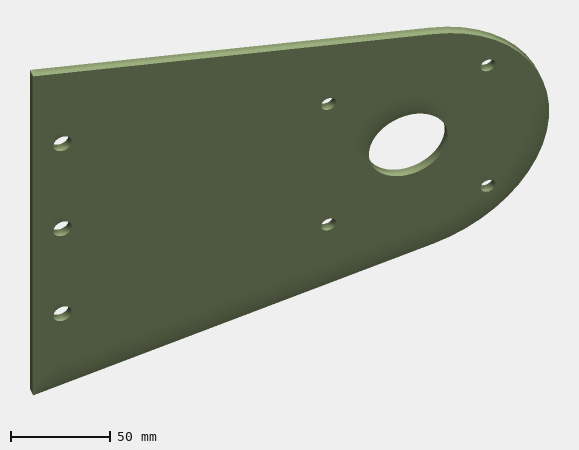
import cadquery as cq
import math

length = 275.0
height = 225.0
thickness = 5.0
end_radius = 75.0

bore_diameter = 42.0
mount_hole_diameter = 8.0
mount_hole_spacing = 85.0
edge_hole_diameter = 10.0
edge_hole_spacing = 60.0
edge_hole_inset = 15.7

straight_edge_y = end_radius - length
half_height = height / 2

corner_distance = math.hypot(straight_edge_y, half_height)
corner_angle = math.atan2(half_height, straight_edge_y)
tangent_angle = corner_angle - math.acos(end_radius / corner_distance)
tangent_y = end_radius * math.cos(tangent_angle)
tangent_z = end_radius * math.sin(tangent_angle)


def make_plate():
    return (
        cq.Workplane("YZ")
        .moveTo(straight_edge_y, -half_height)
        .lineTo(tangent_y, -tangent_z)
        .threePointArc((end_radius, 0), (tangent_y, tangent_z))
        .lineTo(straight_edge_y, half_height)
        .close()
        .extrude(thickness)
    )


def make_holes(centres, diameter):
    return cq.Workplane("YZ").pushPoints(centres).circle(diameter / 2).extrude(thickness)


mount_offset = mount_hole_spacing / 2
mount_centres = [(y, z) for y in (-mount_offset, mount_offset) for z in (-mount_offset, mount_offset)]

edge_row_y = straight_edge_y + edge_hole_inset
edge_centres = [(edge_row_y, step * edge_hole_spacing) for step in (-1, 0, 1)]

result = (
    make_plate()
    .cut(make_holes([(0, 0)], bore_diameter))
    .cut(make_holes(mount_centres, mount_hole_diameter))
    .cut(make_holes(edge_centres, edge_hole_diameter))
)